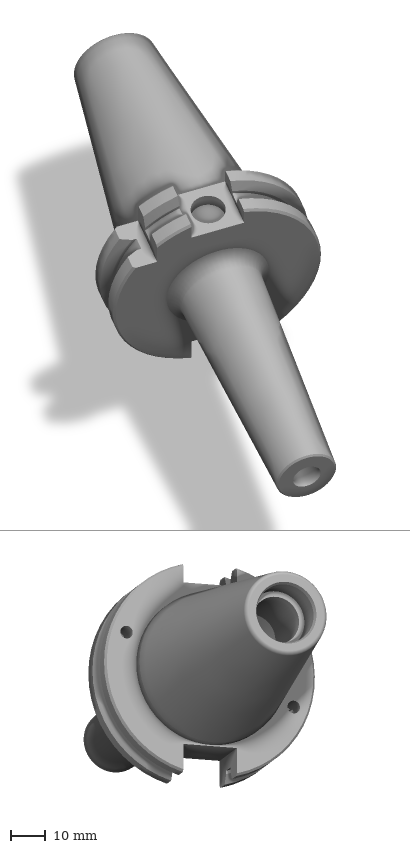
import cadquery as cq
import math

total_length = 162.5
gauge_x = 68.4
flange_start = 71.5
flange_end = 87.6
flange_middle = (flange_start + flange_end) / 2
neck_fillet_end = 92.0

gauge_radius = 22.3
taper_ratio = 7 / 24
taper_end_radius = gauge_radius - gauge_x * taper_ratio / 2
taper_end_rounding = 1.0
taper_end_arc_radius = 1.1
flange_radius = 31.77
flange_chamfer = 0.6
neck_start_radius = 15.6
neck_radius = 12.5
neck_fillet_radius = 4.7
tip_radius = 9.1
tip_chamfer = 0.5

groove_width = 7.0
groove_floor_width = 3.9
groove_wall_angle = 60
groove_floor_radius = 28.1
groove_wall_depth = (groove_width - groove_floor_width) / 2 * math.tan(math.radians(groove_wall_angle))

slot_width = 16.1
upper_slot_floor = 25.2
lower_slot_floor = 22.6
notch_offset = 18.5
seat_radius = 5.0
seat_depth = 4.0

coolant_circle_radius = 26.8
coolant_angle = 20
coolant_radius = 1.87
coolant_outlet_radius = 1.5

mouth_radius = 9.1
mouth_chamfer = 0.5
mouth_chamfer_length = 1.1
pilot_radius = mouth_radius - mouth_chamfer
pilot_depth = 9.8
thread_radius = 7.0
thread_depth = 32.0
drill_point_angle = 59
through_radius = 4.2
cone_length = (thread_radius - through_radius) / math.tan(math.radians(drill_point_angle))


def holder_body():
    """Taper, flange and tapered neck turned about X."""
    rounding_end_radius = taper_end_radius + taper_end_rounding * taper_ratio / 2
    profile = (
        cq.Workplane("XY")
        .moveTo(0, 0)
        .lineTo(0, taper_end_radius - taper_end_rounding)
        .radiusArc((taper_end_rounding, rounding_end_radius), taper_end_arc_radius)
        .lineTo(gauge_x, gauge_radius)
        .lineTo(flange_start, gauge_radius)
        .lineTo(flange_start, flange_radius - flange_chamfer)
        .lineTo(flange_start + flange_chamfer, flange_radius)
        .lineTo(flange_end - flange_chamfer, flange_radius)
        .lineTo(flange_end, flange_radius - flange_chamfer)
        .lineTo(flange_end, neck_start_radius)
        .radiusArc((neck_fillet_end, neck_radius), -neck_fillet_radius)
        .lineTo(total_length - tip_chamfer, tip_radius)
        .lineTo(total_length, tip_radius - tip_chamfer)
        .lineTo(total_length, 0)
        .close()
    )
    return profile.revolve(360, (0, 0, 0), (1, 0, 0))


def flange_groove():
    """Ring that cuts the V groove."""
    wall_foot = flange_radius - groove_wall_depth
    profile = (
        cq.Workplane("XY")
        .moveTo(flange_middle - groove_width / 2, flange_radius)
        .lineTo(flange_middle - groove_floor_width / 2, wall_foot)
        .lineTo(flange_middle - groove_floor_width / 2, groove_floor_radius)
        .lineTo(flange_middle + groove_floor_width / 2, groove_floor_radius)
        .lineTo(flange_middle + groove_floor_width / 2, wall_foot)
        .lineTo(flange_middle + groove_width / 2, flange_radius)
        .close()
    )
    return profile.revolve(360, (0, 0, 0), (1, 0, 0))


def flange_block(y_min, y_max, z_min, z_max):
    """Box over the full flange thickness."""
    return cq.Workplane("XY").box(
        flange_end - flange_start, y_max - y_min, z_max - z_min, centered=False
    ).translate((flange_start, y_min, z_min))


def flange_cutouts():
    """Two drive slots and the single orientation notch."""
    half_slot = slot_width / 2
    upper = flange_block(-half_slot, half_slot, upper_slot_floor, flange_radius)
    lower = flange_block(-half_slot, half_slot, -flange_radius, -lower_slot_floor)
    notch = flange_block(-flange_radius, -notch_offset, notch_offset, flange_radius)
    return upper.union(lower).union(notch)


def slot_seat():
    """Blind round seat in the floor of the upper slot."""
    return cq.Workplane("XY", origin=(flange_middle, 0, upper_slot_floor)).circle(seat_radius).extrude(-seat_depth)


def coolant_hole(angle):
    """Axial hole to mid-flange, met by a radial outlet from the groove."""
    inlet = (
        cq.Workplane("YZ", origin=(flange_start, coolant_circle_radius, 0))
        .circle(coolant_radius)
        .extrude(flange_middle - flange_start)
    )
    outlet = (
        cq.Workplane("XZ", origin=(flange_middle, flange_radius, 0))
        .circle(coolant_outlet_radius)
        .extrude(flange_radius - coolant_circle_radius)
    )
    return inlet.union(outlet).rotate((0, 0, 0), (1, 0, 0), angle)


def bore():
    """Stepped bore: chamfered pilot, thread core, drill cone and through hole."""
    profile = (
        cq.Workplane("XY")
        .moveTo(0, 0)
        .lineTo(0, mouth_radius)
        .lineTo(mouth_chamfer_length, pilot_radius)
        .lineTo(pilot_depth, pilot_radius)
        .lineTo(pilot_depth, thread_radius)
        .lineTo(thread_depth, thread_radius)
        .lineTo(thread_depth + cone_length, through_radius)
        .lineTo(total_length, through_radius)
        .lineTo(total_length, 0)
        .close()
    )
    return profile.revolve(360, (0, 0, 0), (1, 0, 0))


result = holder_body().cut(flange_groove()).cut(flange_cutouts()).cut(slot_seat())
for angle in (coolant_angle, coolant_angle + 180):
    result = result.cut(coolant_hole(angle))
result = result.cut(bore())